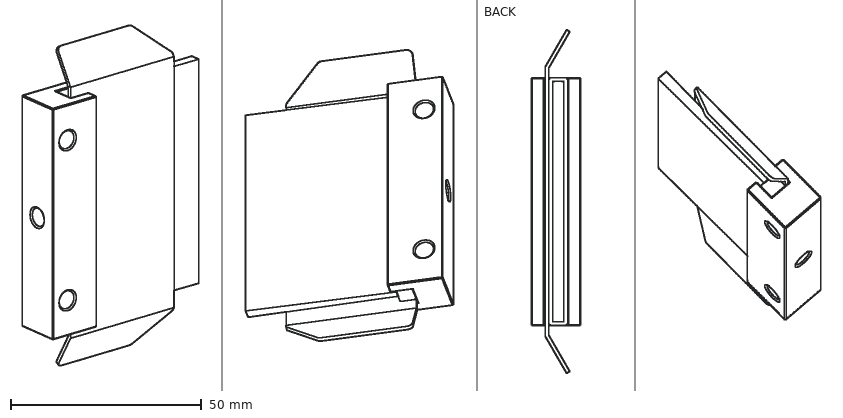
import cadquery as cq
import math


HOUSING_WIDTH = 13.0
HOUSING_DEPTH = 14.9
HOUSING_HEIGHT = 65.0
EDGE_CHAMFER = 0.3

SLOT_WIDTH = 6.0
SLOT_DEPTH = 5.9
slot_floor = HOUSING_DEPTH - SLOT_DEPTH

HOLE_DIAMETER = 4.95
HOLE_CHAMFER = 0.45
CROSS_HOLE_Y = 5.0
CROSS_HOLE_SPACING = 45.0

SHEET_THICKNESS = 1.0
SHEET_DEPTH = 35.0
SHEET_WALL_GAP = 0.2
sheet_outer_x = SLOT_WIDTH / 2 - SHEET_WALL_GAP
sheet_inner_x = sheet_outer_x - SHEET_THICKNESS
TOTAL_HEIGHT = 90.0
BEND_HEIGHT = 70.6
BEND_ANGLE = math.radians(30)
TAB_CHAMFER = 10.1
TAB_FILLET = 1.5

BAR_DEPTH = 4.4
BAR_FILLET = 0.5
bar_left = -SLOT_WIDTH / 2
bar_width = sheet_inner_x - bar_left
bar_center_x = (bar_left + sheet_inner_x) / 2
bar_back = slot_floor + BAR_DEPTH

PLATE_FRONT_THICKNESS = 2.0
PLATE_BACK_THICKNESS = 3.0
PLATE_HEIGHT = 63.0
PLATE_BACK = 54.0


def box(x_center, width, front, back, height):
    """A box centred on Z = 0 and on the given X, from Y = front to Y = back."""
    return cq.Workplane("XY").box(width, back - front, height).translate(
        (x_center, (front + back) / 2, 0)
    )


def countersunk_hole(start, direction, length):
    """A cutter for a hole with a chamfered mouth at its start."""
    radius = HOLE_DIAMETER / 2
    mouth_radius = radius + HOLE_CHAMFER
    drill = cq.Solid.makeCylinder(radius, length, start, direction)
    mouth = cq.Solid.makeCone(mouth_radius, radius, HOLE_CHAMFER, start, direction)
    return drill.fuse(mouth)


def make_housing():
    """A slotted block with a front hole and two cross holes."""
    block = box(0, HOUSING_WIDTH, 0, HOUSING_DEPTH, HOUSING_HEIGHT)
    slot = box(0, SLOT_WIDTH, slot_floor, HOUSING_DEPTH, HOUSING_HEIGHT)
    housing = block.cut(slot)

    slot_corners = cq.selectors.BoxSelector(
        (-SLOT_WIDTH, slot_floor - EDGE_CHAMFER, -EDGE_CHAMFER),
        (SLOT_WIDTH, slot_floor + EDGE_CHAMFER, EDGE_CHAMFER),
    )
    housing = housing.edges(cq.selectors.InverseSelector(slot_corners)).chamfer(EDGE_CHAMFER)

    housing = housing.cut(countersunk_hole(cq.Vector(0, 0, 0), cq.Vector(0, 1, 0), slot_floor))

    for z in (-CROSS_HOLE_SPACING / 2, CROSS_HOLE_SPACING / 2):
        for side in (-1, 1):
            start = cq.Vector(side * HOUSING_WIDTH / 2, CROSS_HOLE_Y, z)
            inward = cq.Vector(-side, 0, 0)
            housing = housing.cut(countersunk_hole(start, inward, HOUSING_WIDTH / 2))
    return housing


def make_bar():
    """A bar with rounded edges, as long as the housing."""
    bar = box(bar_center_x, bar_width, slot_floor, bar_back, HOUSING_HEIGHT)
    return bar.edges().fillet(BAR_FILLET)


def make_plate():
    """A flat plate that grows evenly thicker towards its back edge."""
    half_front = PLATE_FRONT_THICKNESS / 2
    half_back = PLATE_BACK_THICKNESS / 2
    return (
        cq.Workplane("XY", origin=(bar_center_x, 0, -PLATE_HEIGHT / 2))
        .moveTo(-half_front, bar_back)
        .lineTo(half_front, bar_back)
        .lineTo(half_back, PLATE_BACK)
        .lineTo(-half_back, PLATE_BACK)
        .close()
        .extrude(PLATE_HEIGHT)
    )


def make_sheet():
    """A flat sheet whose two ends are bent towards -X, with trimmed tab corners."""
    bend_z = BEND_HEIGHT / 2
    tip_z = TOTAL_HEIGHT / 2
    inner_bend_z = bend_z - SHEET_THICKNESS * math.tan(BEND_ANGLE / 2)
    tip_x = sheet_outer_x - (tip_z - bend_z) * math.tan(BEND_ANGLE)
    inner_tip_x = tip_x - SHEET_THICKNESS * math.cos(BEND_ANGLE)
    inner_tip_z = tip_z - SHEET_THICKNESS * math.sin(BEND_ANGLE)

    sheet = (
        cq.Workplane("XZ", origin=(0, slot_floor, 0))
        .moveTo(sheet_outer_x, -bend_z)
        .lineTo(sheet_outer_x, bend_z)
        .lineTo(tip_x, tip_z)
        .lineTo(inner_tip_x, inner_tip_z)
        .lineTo(sheet_inner_x, inner_bend_z)
        .lineTo(sheet_inner_x, -inner_bend_z)
        .lineTo(inner_tip_x, -inner_tip_z)
        .lineTo(tip_x, -tip_z)
        .close()
        .extrude(-SHEET_DEPTH)
    )
    for end in (-1, 1):
        across_tab = cq.Vector(math.cos(BEND_ANGLE), 0, end * math.sin(BEND_ANGLE))
        corner_edges = cq.selectors.ParallelDirSelector(across_tab)
        sheet = sheet.edges(corner_edges).edges(">Y").chamfer(TAB_CHAMFER)
        sheet = sheet.edges(corner_edges).fillet(TAB_FILLET)
    return sheet


housing = make_housing()
bar = make_bar()
plate = make_plate()
sheet = make_sheet()

result = cq.Compound.makeCompound([housing.val(), bar.val(), plate.val(), sheet.val()])